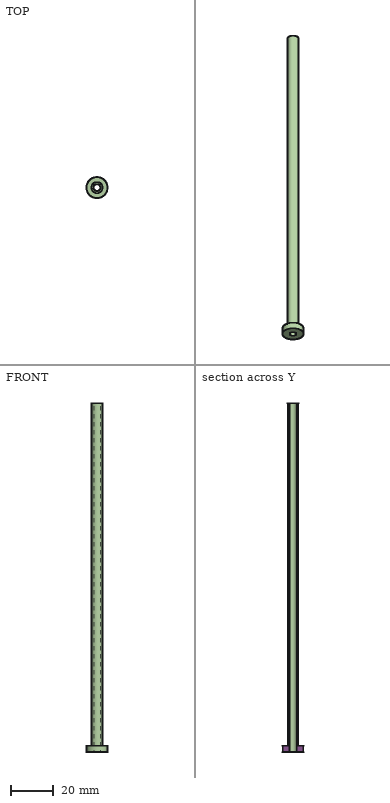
import cadquery as cq

total_length = 163.0
head_diameter = 10.0
head_thickness = 3.1
shank_diameter = 5.2
bore_diameter = 3.1

head = cq.Workplane("XY").circle(head_diameter / 2).extrude(head_thickness)

shank = cq.Workplane("XY").circle(shank_diameter / 2).extrude(total_length)

bore = cq.Workplane("XY").circle(bore_diameter / 2).extrude(total_length)

result = head.union(shank).cut(bore)